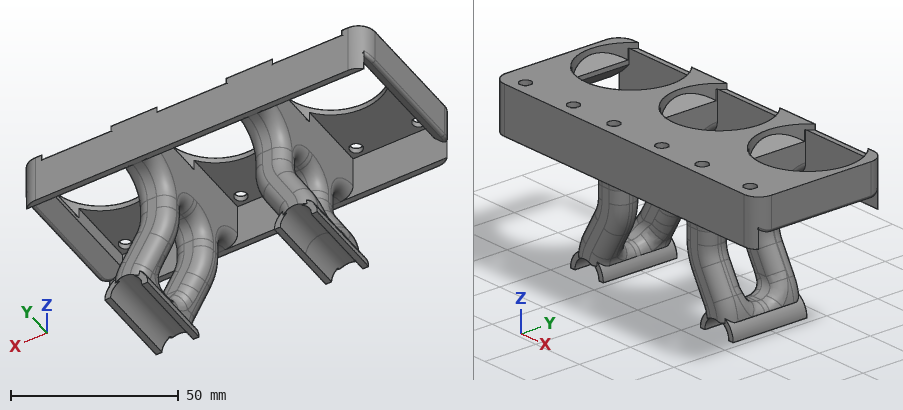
import cadquery as cq
import math

length = 121.7
width = 50.7
skirt_height = 17.0
wall = 2.0
corner_radius = 5.8
inner_half_width = width / 2 - wall

bay_count = 3
bay_pitch = length / bay_count
bay_centers = [(i - (bay_count - 1) / 2) * bay_pitch for i in range(bay_count)]
bay_opening = 28.6
mouth_radius = 18.0
mouth_y = 12.0

seat_slope = 1.0
seat_drop = seat_slope * (mouth_radius - bay_opening / 2)

end_block_depth = (bay_pitch - bay_opening) / 2
end_block_tip_z = -13.1
end_block_lip = 1.6
end_block_round = 0.9

screw_diameter = 4.3
screw_spacing = 22.0
screw_y = -20.0

leg_thickness = bay_pitch - bay_opening
leg_half_width = 15.3
leg_round = 4.4
leg_bend_z = -29.7
leg_bend_radius = 16.1
leg_lean = math.radians(30)
leg_slant = 11.0
foot_bend_radius = 12.3
foot_lean = math.radians(5)

slot_width = 11.7
slot_y = 0.5
slot_top_z = -21.8
slot_bottom_z = -49.3
slot_corner_radius = 5.0

clip_x = -29.8
clip_z = -57.0
tube_radius = 5.5
clip_radius = 7.5
clip_half_width = 14.5


def extrude_along_y(sketch, half_width):
    """Extrude an XZ sketch symmetrically about the XZ plane."""
    return sketch.extrude(half_width, both=True)


def rounded_block(height):
    """Block with the plan outline of the tray, hanging from its top."""
    block = cq.Workplane("XY").box(length, width, height, centered=(True, True, False))
    return block.translate((0, 0, -height)).edges("|Z").fillet(corner_radius)


def tray():
    """Top plate with a skirt along the front and the back."""
    cavity = cq.Workplane("XY").box(
        length, 2 * inner_half_width, skirt_height, centered=(True, True, False)
    ).translate((0, 0, -skirt_height - wall))
    return rounded_block(skirt_height).cut(cavity)


def end_block():
    """Wedge under the left end of the plate, its underside rising towards the bay."""
    outer_x = -length / 2
    inner_x = outer_x + end_block_depth
    profile = (
        cq.Workplane("XZ")
        .moveTo(outer_x, 0)
        .lineTo(inner_x, 0)
        .lineTo(inner_x, -wall - seat_drop - end_block_lip)
        .lineTo(outer_x, end_block_tip_z)
        .close()
    )
    block = extrude_along_y(profile, width / 2).intersect(rounded_block(skirt_height))
    lower_edge = cq.selectors.BoxSelector(
        (outer_x - 1.2, -width, end_block_tip_z - 1.2),
        (outer_x + 2.4, width, end_block_tip_z + 2.4),
    )
    block = block.edges(lower_edge).edges("not |Z").fillet(end_block_round)
    between_skirts = cq.Workplane("XY").box(2 * length, 2 * inner_half_width + wall, 2 * length)
    return block.intersect(between_skirts)


def leg_side_profile():
    """XZ outline of the left leg: upright, bent outwards, then bent back into the clip."""
    half = leg_thickness / 2
    upper_pivot = (-bay_pitch / 2 - leg_bend_radius, leg_bend_z)
    pivot_gap = leg_bend_radius + foot_bend_radius
    lower_pivot = (
        upper_pivot[0] + pivot_gap * math.cos(leg_lean) - leg_slant * math.sin(leg_lean),
        upper_pivot[1] - pivot_gap * math.sin(leg_lean) - leg_slant * math.cos(leg_lean),
    )

    def upper(offset, angle):
        radius = leg_bend_radius + offset
        return (
            upper_pivot[0] + radius * math.cos(angle),
            upper_pivot[1] - radius * math.sin(angle),
        )

    def lower(offset, angle):
        radius = foot_bend_radius - offset
        return (
            lower_pivot[0] - radius * math.cos(angle),
            lower_pivot[1] + radius * math.sin(angle),
        )

    bend_middle = (leg_lean + foot_lean) / 2
    return (
        cq.Workplane("XZ")
        .moveTo(-bay_pitch / 2 - half, 0)
        .lineTo(-bay_pitch / 2 + half, 0)
        .lineTo(*upper(half, 0))
        .threePointArc(upper(half, leg_lean / 2), upper(half, leg_lean))
        .lineTo(*lower(half, leg_lean))
        .threePointArc(lower(half, bend_middle), lower(half, foot_lean))
        .lineTo(*lower(-half, foot_lean))
        .threePointArc(lower(-half, bend_middle), lower(-half, leg_lean))
        .lineTo(*upper(-half, leg_lean))
        .threePointArc(upper(-half, leg_lean / 2), upper(-half, 0))
        .close()
    )


def leg_front_profile():
    """YZ outline of a leg, flaring out to the skirts, as a long bar along X."""
    flare = inner_half_width - leg_half_width
    flare_z = -skirt_height - flare
    mid = flare * math.sqrt(0.5)
    outer = inner_half_width + wall / 2
    return (
        cq.Workplane("YZ")
        .moveTo(-outer, 0)
        .lineTo(-outer, -skirt_height)
        .lineTo(-inner_half_width, -skirt_height)
        .threePointArc((-inner_half_width + mid, flare_z + mid), (-leg_half_width, flare_z))
        .lineTo(-leg_half_width, clip_z)
        .lineTo(leg_half_width, clip_z)
        .lineTo(leg_half_width, flare_z)
        .threePointArc((inner_half_width - mid, flare_z + mid), (inner_half_width, -skirt_height))
        .lineTo(outer, -skirt_height)
        .lineTo(outer, 0)
        .close()
        .extrude(length, both=True)
    )


def slot():
    """Rounded opening through a leg along X."""
    slot_height = slot_top_z - slot_bottom_z
    return (
        cq.Workplane("XY")
        .box(length, slot_width, slot_height)
        .edges("|X")
        .fillet(slot_corner_radius)
        .translate((0, slot_y, (slot_top_z + slot_bottom_z) / 2))
    )


def leg():
    """Left leg with its outer rims and its slot rims rounded over."""
    body = extrude_along_y(leg_side_profile(), width).intersect(leg_front_profile())
    below_skirt = cq.selectors.BoxSelector(
        (-length, -width, clip_z + tube_radius), (length, width, -skirt_height - 0.1)
    )
    body = body.edges(below_skirt).edges("not |X").edges("not |Y").fillet(leg_round)

    body = body.cut(slot())
    reach = 0.6 * slot_width
    around_slot = cq.selectors.BoxSelector(
        (-length, slot_y - reach, slot_bottom_z - 1.2), (length, slot_y + reach, -skirt_height)
    )
    return body.edges(around_slot).edges("not |X").fillet(leg_round)


def clip():
    """Half ring along Y that snaps over a tube."""
    profile = (
        cq.Workplane("XZ")
        .moveTo(clip_x - clip_radius, clip_z)
        .threePointArc((clip_x, clip_z + clip_radius), (clip_x + clip_radius, clip_z))
        .close()
    )
    return extrude_along_y(profile, clip_half_width)


def tube():
    """Space taken by the tube the clip holds."""
    return extrude_along_y(cq.Workplane("XZ").center(clip_x, clip_z).circle(tube_radius), width)


def clipped_leg():
    """Left leg ending in its tube clip."""
    return leg().union(clip()).cut(tube())


def bay_cut(center_x):
    """Round mouth through the plate and the sloping seats beneath it."""
    mouth = (
        cq.Workplane("XY").center(center_x, mouth_y).circle(mouth_radius).extrude(-skirt_height)
    )
    seat_z = -wall - seat_drop
    half = bay_opening / 2
    funnel_profile = (
        cq.Workplane("XZ")
        .moveTo(center_x - mouth_radius, -wall)
        .lineTo(center_x + mouth_radius, -wall)
        .lineTo(center_x + half, seat_z)
        .lineTo(center_x - half, seat_z)
        .close()
    )
    funnel = extrude_along_y(funnel_profile, inner_half_width)
    plate = cq.Workplane("XY").box(length, 2 * width, 2 * wall)
    return mouth.intersect(plate.union(funnel))


def screw_holes(center_x):
    """Pair of screw holes through the plate in front of a bay."""
    half = screw_spacing / 2
    return (
        cq.Workplane("XY")
        .pushPoints([(center_x - half, screw_y), (center_x + half, screw_y)])
        .circle(screw_diameter / 2)
        .extrude(-wall)
    )


result = tray()
for part in (end_block(), clipped_leg()):
    result = result.union(part).union(part.mirror("YZ"))
for bay_x in bay_centers:
    result = result.cut(bay_cut(bay_x)).cut(screw_holes(bay_x))